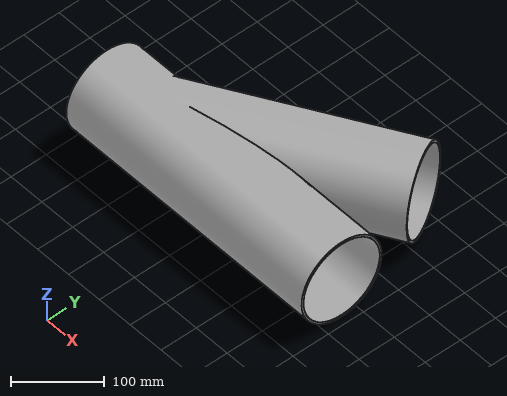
import cadquery as cq
import math

outer_diameter = 114.3
bore_diameter = 108.2
run_length = 381.0
branch_length = 304.8
branch_angle = 30.0
branch_offset = 76.2

branch_radians = math.radians(branch_angle)
run_start = cq.Vector(0, 0, 0)
run_direction = cq.Vector(1, 0, 0)
branch_start = cq.Vector(branch_offset, 0, 0)
branch_direction = cq.Vector(math.cos(branch_radians), math.sin(branch_radians), 0)


def wye_solid(diameter):
    """Joined run and branch cylinders of one diameter."""
    radius = diameter / 2
    run = cq.Solid.makeCylinder(radius, run_length, run_start, run_direction)
    branch = cq.Solid.makeCylinder(radius, branch_length, branch_start, branch_direction)
    return cq.Workplane(obj=run).union(cq.Workplane(obj=branch))


result = wye_solid(outer_diameter).cut(wye_solid(bore_diameter))